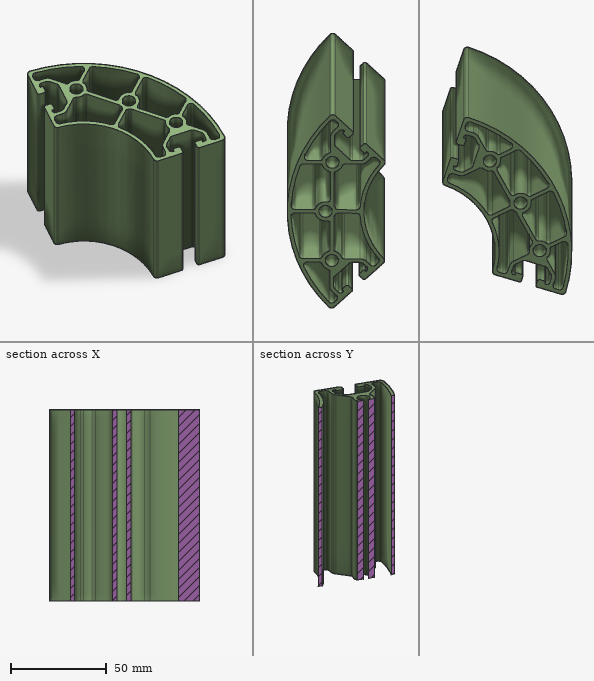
import cadquery as cq
import math

length = 100.0
outer_radius = 80.0
inner_radius = 40.0
wall = 2.0
mid_radius = (outer_radius + inner_radius) / 2

bore_radius = 6.8 / 2
boss_radius = 5.5
bore_height = 20.0

slot_half_width = 4.0
lip_height = 4.5
notch_half_width = 8.2
notch_floor = 3.0
channel_half_width = 10.4
channel_top = 12.4

end_corner_radius = 2.0
lip_corner_radius = 1.1
pocket_radius = 2.0
boss_corner_radius = 1.5
web_bend_radius = 4.5
channel_bend_radius = 3.0
channel_top_radius = 2.0
notch_lip_radius = 0.7
notch_radius = 1.5
position_tolerance = 0.01

rib_offset = wall / 2 * math.sqrt(2)
block_half_width = 12.5
block_apex = bore_height + rib_offset
block_shoulder = block_apex - block_half_width
channel_top_half_width = bore_height - rib_offset - channel_top
channel_shoulder = bore_height - rib_offset - channel_half_width

end_bore = (-mid_radius, bore_height)
middle_bore = (-mid_radius * math.sqrt(0.5), mid_radius * math.sqrt(0.5))
mirrored_end_bore = (-bore_height, mid_radius)
bores = [end_bore, middle_bore, mirrored_end_bore]


def with_mirror(body):
    """Add the copy mirrored about the line Y = -X: a half turn about that line."""
    turned = body.rotate((0, 0, 0), (-1, 1, 0), 180)
    return body.union(turned.translate((0, 0, length)))


def ring_sector(small_radius, large_radius, edge_gap):
    """Quarter ring whose straight ends stand edge_gap away from X = 0 and Y = 0."""
    quadrant = (
        cq.Workplane("XY")
        .rect(large_radius, large_radius)
        .extrude(length)
        .translate((-large_radius / 2 - edge_gap, large_radius / 2 + edge_gap, 0))
    )
    ring = cq.Workplane("XY").circle(large_radius).circle(small_radius).extrude(length)
    return ring.intersect(quadrant)


def rib(start, end):
    """Straight rib between two points."""
    run_x = end[0] - start[0]
    run_y = end[1] - start[1]
    return (
        cq.Workplane("XY")
        .rect(math.hypot(run_x, run_y), wall)
        .extrude(length)
        .rotate((0, 0, 0), (0, 0, 1), math.degrees(math.atan2(run_y, run_x)))
        .translate(((start[0] + end[0]) / 2, (start[1] + end[1]) / 2, 0))
    )


def symmetric_outline(half_points):
    """Prism on the Y = 0 end, mirrored about the slot's centre line."""
    left = [(-mid_radius - x, y) for x, y in half_points]
    right = [(-mid_radius + x, y) for x, y in reversed(half_points) if x > 0]
    return cq.Workplane("XY").polyline(left + right).close().extrude(length)


def both_sides(half_points):
    """Positions of slot-centred points on both sides of the Y = 0 end's slot."""
    return [(-mid_radius + side * x, y) for x, y in half_points for side in (-1, 1)]


def near(points, distance):
    """Edge test: the edge's centre, seen along Z, is within this distance of a point."""

    def is_near(edge):
        center = edge.Center()
        return any(math.dist(point, (center.x, center.y)) < distance for point in points)

    return is_near


def round_corners(body, corners, radius):
    """Fillet the vertical edges that stand at these XY positions."""
    return body.edges("|Z").filter(near(corners, position_tolerance)).fillet(radius)


def end_block():
    """House-shaped body that holds the T-slot and runs into the end bore's boss."""
    shoulder = (block_half_width, block_shoulder)
    block = symmetric_outline([(block_half_width, 0), shoulder, (0, block_apex)])
    return round_corners(block, both_sides([shoulder]), web_bend_radius)


def t_slot():
    """Void of the T-slot, with a notch behind each lip."""
    mouth = (slot_half_width, 0)
    lip = (slot_half_width, lip_height)
    notch_lip = (notch_half_width, lip_height)
    notch_inner = (notch_half_width, notch_floor)
    notch_outer = (channel_half_width, notch_floor)
    shoulder = (channel_half_width, channel_shoulder)
    top = (channel_top_half_width, channel_top)
    slot = symmetric_outline([mouth, lip, notch_lip, notch_inner, notch_outer, shoulder, top])
    slot = round_corners(slot, both_sides([lip]), lip_corner_radius)
    slot = round_corners(slot, both_sides([notch_lip]), notch_lip_radius)
    slot = round_corners(slot, both_sides([notch_outer]), notch_radius)
    slot = round_corners(slot, both_sides([top]), channel_top_radius)
    return round_corners(slot, both_sides([shoulder]), channel_bend_radius)


def skeleton():
    """Everything that fills the hollow between the walls: ribs, bosses and end blocks."""
    reach = outer_radius / 2
    outer_rib_end = (end_bore[0] - reach, end_bore[1] + reach)
    body = with_mirror(end_block().union(rib(end_bore, outer_rib_end)))
    body = body.union(rib(end_bore, mirrored_end_bore))
    body = body.union(rib((0, 0), (-outer_radius, outer_radius)))
    return body.union(cq.Workplane("XY").pushPoints(bores).circle(boss_radius).extrude(length))


def pockets():
    """The six closed hollows, rounded more at the walls than around the bosses."""
    hollow = ring_sector(inner_radius + wall, outer_radius - wall, wall).cut(skeleton())
    at_boss = near(bores, boss_radius + position_tolerance)
    hollow = hollow.edges("|Z").filter(lambda edge: not at_boss(edge)).fillet(pocket_radius)
    return hollow.edges("|Z").filter(at_boss).fillet(boss_corner_radius)


mouth_corners = both_sides([(slot_half_width, 0)])
mirrored_mouth_corners = [(-y, -x) for x, y in mouth_corners]

profile = ring_sector(inner_radius, outer_radius, 0).edges("|Z").fillet(end_corner_radius)
profile = profile.cut(pockets()).cut(with_mirror(t_slot()))
profile = round_corners(profile, mouth_corners + mirrored_mouth_corners, lip_corner_radius)
result = profile.cut(cq.Workplane("XY").pushPoints(bores).circle(bore_radius).extrude(length))